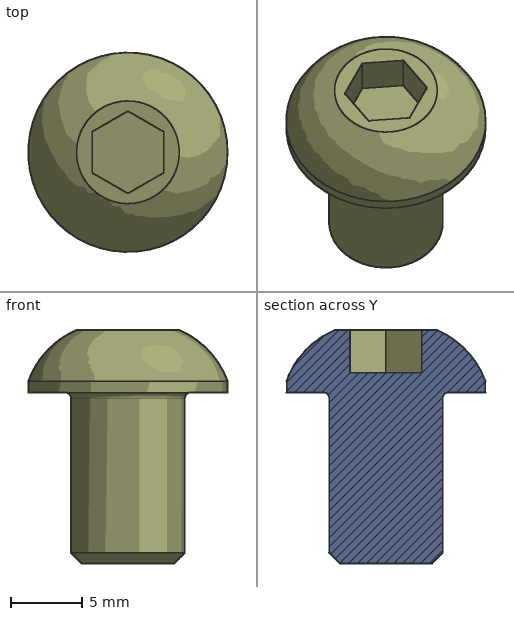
import cadquery as cq
import math

head_diameter = 14.0
head_height = 4.4
rim_height = 0.8
crown_diameter = 7.2
dome_radius = 6.35

shank_diameter = 8.0
shank_length = 12.0
tip_chamfer = 0.767
neck_fillet = 0.4

socket_across_flats = 5.0
socket_depth = 3.0


def head():
    """Domed head with a short cylindrical rim, revolved about Z."""
    rim_top = (head_diameter / 2, rim_height)
    crown_edge = (crown_diameter / 2, head_height)
    profile = (
        cq.Workplane("XZ")
        .lineTo(head_diameter / 2, 0)
        .lineTo(*rim_top)
        .radiusArc(crown_edge, -dome_radius)
        .lineTo(0, head_height)
        .close()
    )
    return profile.revolve(360, (0, 0, 0), (0, 1, 0))


def shank():
    """Plain shank below the head with a chamfered tip."""
    return (
        cq.Workplane("XY")
        .circle(shank_diameter / 2)
        .extrude(-shank_length)
        .faces("<Z")
        .chamfer(tip_chamfer)
    )


def fillet_neck(screw):
    """Round the inside corner where the shank meets the head."""
    reach = shank_diameter / 2 + neck_fillet
    neck_edge = cq.selectors.BoxSelector(
        (-reach, -reach, -neck_fillet), (reach, reach, neck_fillet), boundingbox=True
    )
    return screw.edges(neck_edge).fillet(neck_fillet)


def hex_socket():
    """Hexagonal key socket with two corners on the Y axis."""
    across_corners = socket_across_flats / math.cos(math.radians(30))
    return (
        cq.Workplane("XY", origin=(0, 0, head_height))
        .transformed(rotate=(0, 0, 90))
        .polygon(6, across_corners)
        .extrude(-socket_depth)
    )


result = fillet_neck(head().union(shank())).cut(hex_socket())